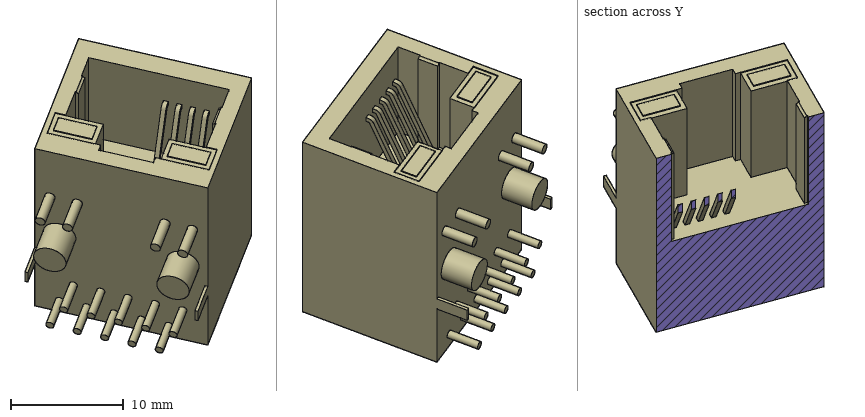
import cadquery as cq
import math

WIDTH = 16.04
DEPTH = 13.5
HEIGHT = 21.3
PIN_LENGTH = 3.05

BACK_WALL = 1.9
CAVITY_BACK = DEPTH - BACK_WALL
CAVITY_WIDTH = 13.01
CAVITY_FLOOR = 10.65
LATCH_SHELF = 2.09
NOTCH_WIDTH = 5.07
NOTCH_FRONT = 1.47

LIGHT_WIDTH = 4.45
LIGHT_DEPTH = 2.5
LIGHT_INNER_X = 3.05
LIGHT_RECESS = 0.1
LENS_WIDTH = 3.58
LENS_DEPTH = 1.53

SPRING_LENGTH = 1.95
SPRING_BACK = DEPTH - 4.07
SPRING_BULGE = 0.3
SPRING_RADIUS = 0.21

PITCH = 2.53
CONTACT_COUNT = 5
LAST_CONTACT_X = 5.7
WIRE_SIZE = 0.45
WIRE_TOP = 17.8
WIRE_STUB = 0.23
WIRE_BEND = 0.6
WIRE_LEAN = math.radians(25)

CONTACT_PIN_DIAMETER = 0.75
LOWER_ROW_Z = 1.51
UPPER_ROW_Z = LOWER_ROW_Z + PITCH
LIGHT_PIN_DIAMETER = 0.94
LIGHT_PIN_X = 6.6
LIGHT_PIN_Z = 15.27
POST_DIAMETER = 3.0
POST_X = 5.7
POST_Z = 10.37
TAB_THICKNESS = 0.28
TAB_BOTTOM = 6.69
TAB_HEIGHT = 1.28

LIGHT_X = LIGHT_INNER_X + LIGHT_WIDTH / 2
LIGHT_BACK = LATCH_SHELF + LIGHT_DEPTH
SIDES = (-1, 1)


def block(x_centre, y_range, z_range, width):
    """Box centred on x_centre that spans the given Y and Z ranges."""
    y_low, y_high = y_range
    z_low, z_high = z_range
    return (
        cq.Workplane("XY")
        .box(width, y_high - y_low, z_high - z_low, centered=(True, False, False))
        .translate((x_centre, y_low, z_low))
    )


def cavity():
    """Plug cavity: wide at the back, narrow between the lights, with a latch notch in front."""
    z_range = (CAVITY_FLOOR, HEIGHT)
    wide = block(0, (LIGHT_BACK, CAVITY_BACK), z_range, CAVITY_WIDTH)
    between_lights = block(0, (LATCH_SHELF, LIGHT_BACK), z_range, 2 * LIGHT_INNER_X)
    notch = block(0, (NOTCH_FRONT, LATCH_SHELF), z_range, NOTCH_WIDTH)
    return wide.union(between_lights).union(notch)


def light_recess(side):
    """Shallow recess over a light, leaving its lens standing up to the housing top."""
    z_range = (HEIGHT - LIGHT_RECESS, HEIGHT)
    lens_margin = (LIGHT_DEPTH - LENS_DEPTH) / 2
    lens_range = (LATCH_SHELF + lens_margin, LIGHT_BACK - lens_margin)
    pocket = block(side * LIGHT_X, (LATCH_SHELF, LIGHT_BACK), z_range, LIGHT_WIDTH)
    return pocket.cut(block(side * LIGHT_X, lens_range, z_range, LENS_WIDTH))


def side_spring(side):
    """Strip standing out of a cavity side wall, rounded over at its top edge."""
    wall_x = side * CAVITY_WIDTH / 2
    face_x = wall_x - side * SPRING_BULGE
    return (
        cq.Workplane("XZ", origin=(0, SPRING_BACK, 0))
        .moveTo(wall_x, CAVITY_FLOOR)
        .lineTo(face_x, CAVITY_FLOOR)
        .lineTo(face_x, HEIGHT - SPRING_RADIUS)
        .radiusArc((face_x + side * SPRING_RADIUS, HEIGHT), -side * SPRING_RADIUS)
        .lineTo(wall_x, HEIGHT)
        .close()
        .extrude(SPRING_LENGTH)
    )


def contact_wire(x_centre):
    """Wire leaving the back wall, bending down and leaning forward to the cavity floor."""
    bend_y = CAVITY_BACK - WIRE_STUB
    bend_z = WIRE_TOP - WIRE_BEND
    inner_bend = WIRE_BEND - WIRE_SIZE
    turn = math.pi / 2 - WIRE_LEAN

    def on_bend(radius, angle):
        return (bend_y - radius * math.sin(angle), bend_z + radius * math.cos(angle))

    def on_floor(start):
        return (start[0] - (start[1] - CAVITY_FLOOR) * math.tan(WIRE_LEAN), CAVITY_FLOOR)

    outer_end = on_bend(WIRE_BEND, turn)
    inner_end = on_bend(inner_bend, turn)
    return (
        cq.Workplane("YZ", origin=(x_centre - WIRE_SIZE / 2, 0, 0))
        .moveTo(CAVITY_BACK, WIRE_TOP)
        .lineTo(bend_y, WIRE_TOP)
        .threePointArc(on_bend(WIRE_BEND, turn / 2), outer_end)
        .lineTo(*on_floor(outer_end))
        .lineTo(*on_floor(inner_end))
        .lineTo(*inner_end)
        .threePointArc(on_bend(inner_bend, turn / 2), on_bend(inner_bend, 0))
        .lineTo(CAVITY_BACK, WIRE_TOP - WIRE_SIZE)
        .close()
        .extrude(WIRE_SIZE)
    )


def round_pins(places, diameter):
    """Round pins standing out of the mounting face at the given (X, Z) places."""
    return cq.Workplane("XZ").pushPoints(places).circle(diameter / 2).extrude(PIN_LENGTH)


def side_tab(side):
    """Flat tab continuing a housing side beyond the mounting face."""
    x_centre = side * (WIDTH - TAB_THICKNESS) / 2
    return block(x_centre, (-PIN_LENGTH, 0), (TAB_BOTTOM, TAB_BOTTOM + TAB_HEIGHT), TAB_THICKNESS)


upper_row_x = [LAST_CONTACT_X - PITCH * i for i in range(CONTACT_COUNT)]
lower_row_x = [-x for x in upper_row_x]
contact_pins = [(x, UPPER_ROW_Z) for x in upper_row_x] + [(x, LOWER_ROW_Z) for x in lower_row_x]
light_pins = [(side * x, LIGHT_PIN_Z) for side in SIDES for x in (LIGHT_PIN_X, LIGHT_PIN_X - PITCH)]
posts = [(side * POST_X, POST_Z) for side in SIDES]

result = block(0, (0, DEPTH), (0, HEIGHT), WIDTH).cut(cavity())
for side in SIDES:
    result = result.cut(light_recess(side))
    result = result.union(side_spring(side))
    result = result.union(side_tab(side))
for i in range(CONTACT_COUNT):
    result = result.union(contact_wire(LAST_CONTACT_X - i * PITCH / 2))
result = result.union(round_pins(contact_pins, CONTACT_PIN_DIAMETER))
result = result.union(round_pins(light_pins, LIGHT_PIN_DIAMETER))
result = result.union(round_pins(posts, POST_DIAMETER))